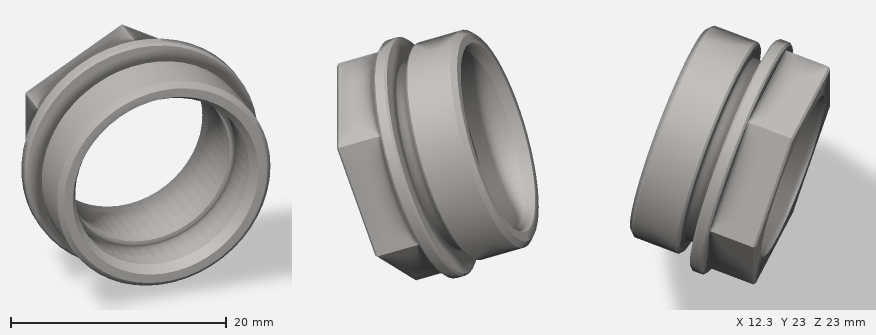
import cadquery as cq
import math

hex_length = 4.5
flange_length = 1.3
groove_length = 1.5
collar_length = 5.0

hex_across_flats = 19.0
flange_diameter = 23.0
groove_diameter = 18.0
collar_diameter = 21.0
bore_diameter = 16.0

counterbore_start = 7.5
counterbore_diameter = 17.1
mouth_length = 1.0
mouth_half_angle = math.radians(30)

edge_chamfer = 0.2
end_chamfer = 0.5
groove_root_fillet = 0.2

flange_start = hex_length
groove_start = flange_start + flange_length
collar_start = groove_start + groove_length
total_length = collar_start + collar_length


def cylinder(start, length, diameter):
    """Cylinder about the X axis, beginning at X = start."""
    return cq.Workplane("YZ", origin=(start, 0, 0)).circle(diameter / 2).extrude(length)


def hexagon_head():
    """Hexagon with corners on +Z and -Z and a chamfered free face."""
    across_corners = hex_across_flats / math.cos(math.pi / 6)
    prism = (
        cq.Workplane("YZ")
        .transformed(rotate=(0, 0, 90))
        .polygon(6, across_corners)
        .extrude(hex_length)
    )
    return prism.faces("<X").chamfer(edge_chamfer)


def flange():
    """Sealing flange, chamfered on both rims."""
    disc = cylinder(flange_start, flange_length, flange_diameter)
    return disc.edges("%CIRCLE").chamfer(edge_chamfer)


def groove_neck():
    """Narrow neck joining the flange to the collar."""
    return cylinder(groove_start, groove_length, groove_diameter)


def collar():
    """Large end collar with a small inner and a larger outer chamfer."""
    ring = cylinder(collar_start, collar_length, collar_diameter)
    return ring.faces("<X").chamfer(edge_chamfer).faces(">X").chamfer(end_chamfer)


def round_groove_roots(body):
    """Fillet both inside corners at the bottom of the groove."""
    neck_circles = cq.selectors.RadiusNthSelector(0)
    return body.edges("%CIRCLE").edges(neck_circles).fillet(groove_root_fillet)


def stepped_bore():
    """Cutting body: through bore, counterbore and mouth widening towards +X."""
    bore = cylinder(0, total_length, bore_diameter)
    counterbore = cylinder(counterbore_start, total_length - counterbore_start, counterbore_diameter)
    mouth_start = total_length - mouth_length
    inner_radius = counterbore_diameter / 2
    outer_radius = inner_radius + mouth_length * math.tan(mouth_half_angle)
    mouth = (
        cq.Workplane("XY")
        .moveTo(mouth_start, 0)
        .lineTo(mouth_start, inner_radius)
        .lineTo(total_length, outer_radius)
        .lineTo(total_length, 0)
        .close()
        .revolve(360, (0, 0, 0), (1, 0, 0))
    )
    return bore.union(counterbore).union(mouth)


body = hexagon_head().union(flange()).union(groove_neck()).union(collar())
body = round_groove_roots(body)
result = body.cut(stepped_bore())